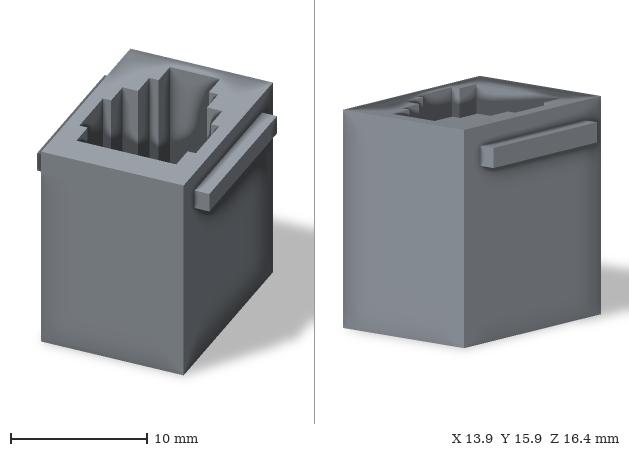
import cadquery as cq

body_width = 11.5
body_depth = 15.87
body_height = 16.38

overall_width = 13.9
rail_length = 12.0
rail_height = 1.5
rail_top_gap = 1.5

socket_depth = 12.0
socket_front = -5.45
socket_steps = [
    (4.03, -3.44),
    (4.7, 0.74),
    (4.03, 2.75),
    (2.78, 4.77),
    (2.03, 6.78),
]


def make_body():
    return cq.Workplane("XY").box(body_width, body_depth, body_height, centered=(True, True, False))


def make_rails():
    """One bar through the housing, leaving a rail on both sides."""
    rail_bottom = body_height - rail_top_gap - rail_height
    bar = cq.Workplane("XY").box(overall_width, rail_length, rail_height, centered=(True, True, False))
    return bar.translate((0, 0, rail_bottom))


def make_socket():
    """Prism with a stepped outline, symmetric about the YZ plane."""
    right_side = []
    step_front = socket_front
    for half_width, step_rear in socket_steps:
        right_side += [(half_width, step_front), (half_width, step_rear)]
        step_front = step_rear
    left_side = [(-x, y) for x, y in reversed(right_side)]
    floor = cq.Workplane("XY").workplane(offset=body_height - socket_depth)
    return floor.polyline(right_side + left_side).close().extrude(socket_depth)


result = make_body().union(make_rails()).cut(make_socket())